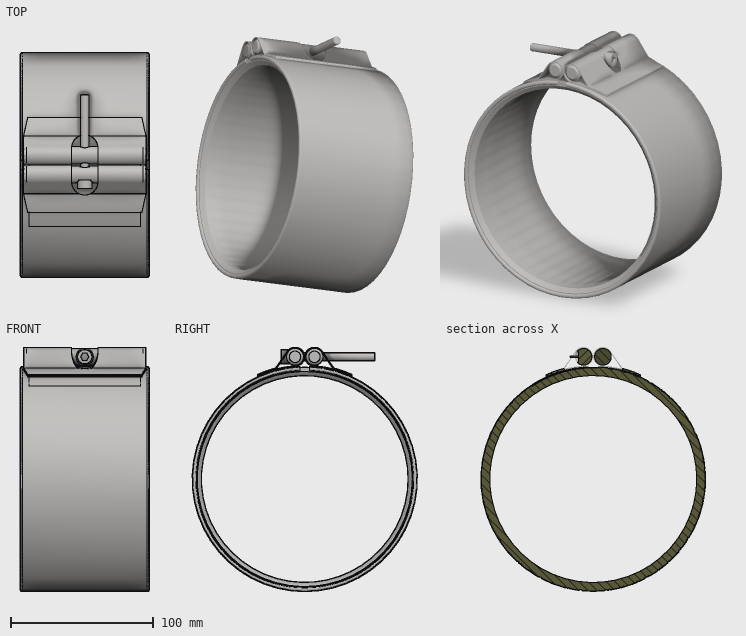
import cadquery as cq
import math

casing_radius = 79.0
casing_sheet = 0.6
casing_bore_radius = casing_radius - casing_sheet
casing_width = 90.5
rim_radius = 1.5
rim_low_radius = casing_radius - 2 * rim_radius
rim_start_x = casing_width / 2 - rim_radius
split_gap = 6.7

tongue_width = 78.0
tongue_start_y = -43.3
tongue_end_clearance = 0.35
tongue_end_y = split_gap / 2 - tongue_end_clearance
tongue_low_radius = casing_bore_radius - casing_sheet

gasket_bore_radius = 72.4
gasket_chamfer = 3.0

overall_top = 92.4
pin_radius = 6.0
lug_sheet = 0.7
layer_gap = 0.05
loop_radius = pin_radius + lug_sheet
pin_offset = 6.8
bolt_height = overall_top - loop_radius
lug_width = 85.8
lug_end_width = 80.0
fold_y = 20.4
lug_end_y = 33.3
window_width = 18.5
window_length = 42.2

pin_length = lug_width
pin_chamfer = 2.0
clearance_hole_radius = 3.5
counterbore_radius = 6.0

shank_radius = 5.85 / 2
shank_length = 60.0
tip_chamfer = 0.5
head_radius = 5.0
head_height = 6.0
head_seat_y = -10.6
socket_across_flats = 5.0
socket_depth = 3.0


def on_radius(radius, y):
    """Point (y, z) on the upper half of a circle round the casing axis."""
    return (y, math.sqrt(radius**2 - y**2))


def curved_strip(outer_radius, inner_radius, start_y, end_y, width):
    """Strip concentric with the casing, between two y positions."""
    middle_y = (start_y + end_y) / 2
    return (
        cq.Workplane("YZ")
        .moveTo(*on_radius(outer_radius, start_y))
        .threePointArc(on_radius(outer_radius, middle_y), on_radius(outer_radius, end_y))
        .lineTo(*on_radius(inner_radius, end_y))
        .threePointArc(on_radius(inner_radius, middle_y), on_radius(inner_radius, start_y))
        .close()
        .extrude(width / 2, both=True)
    )


def cylinder_along_y(radius, start_y, end_y):
    """Cylinder on the bolt axis."""
    return (
        cq.Workplane("XZ", origin=(0, start_y, bolt_height))
        .circle(radius)
        .extrude(start_y - end_y)
    )


def make_tongue():
    return curved_strip(casing_bore_radius, tongue_low_radius, tongue_start_y, tongue_end_y, tongue_width)


def make_casing():
    """Band of constant sheet thickness whose edges curl inward in half circles."""
    curl_middle = casing_radius - rim_radius
    curl_inner_top = rim_low_radius + casing_sheet
    outer_x = casing_width / 2
    inner_x = outer_x - casing_sheet
    section = (
        cq.Workplane("XY")
        .moveTo(-rim_start_x, casing_radius)
        .lineTo(rim_start_x, casing_radius)
        .threePointArc((outer_x, curl_middle), (rim_start_x, rim_low_radius))
        .lineTo(rim_start_x, curl_inner_top)
        .threePointArc((inner_x, curl_middle), (rim_start_x, casing_bore_radius))
        .lineTo(-rim_start_x, casing_bore_radius)
        .threePointArc((-inner_x, curl_middle), (-rim_start_x, curl_inner_top))
        .lineTo(-rim_start_x, rim_low_radius)
        .threePointArc((-outer_x, curl_middle), (-rim_start_x, casing_radius))
        .close()
    )
    half_gap_angle = math.degrees(math.asin(split_gap / 2 / casing_radius))
    band = section.revolve(360 - 2 * half_gap_angle, (0, 0, 0), (1, 0, 0))
    band = band.rotate((0, 0, 0), (1, 0, 0), 90 + half_gap_angle)
    return band.union(make_tongue())


def make_gasket():
    """Sleeve between the curled rims, recessed for the tongue."""
    mouth_radius = gasket_bore_radius + gasket_chamfer
    bore_end_x = rim_start_x - gasket_chamfer
    sleeve = (
        cq.Workplane("XY")
        .moveTo(-rim_start_x, casing_bore_radius)
        .lineTo(rim_start_x, casing_bore_radius)
        .lineTo(rim_start_x, mouth_radius)
        .lineTo(bore_end_x, gasket_bore_radius)
        .lineTo(-bore_end_x, gasket_bore_radius)
        .lineTo(-rim_start_x, mouth_radius)
        .close()
        .revolve(360, (0, 0, 0), (1, 0, 0))
    )
    return sleeve.cut(make_tongue())


def leg_touch(foot, radius):
    """Point where a straight leg rising from `foot` touches a circle round the pin axis."""
    dy = foot[0] - pin_offset
    dz = foot[1] - bolt_height
    angle = math.atan2(dz, dy) + math.acos(radius / math.hypot(dy, dz))
    return (pin_offset + radius * math.cos(angle), bolt_height + radius * math.sin(angle))


def loop_bottom(radius):
    """Point of a circle round the pin axis that is nearest to the casing axis."""
    nearness = 1 - radius / math.hypot(pin_offset, bolt_height)
    return (pin_offset * nearness, bolt_height * nearness)


def make_folded_strap():
    """Strap of the +Y side: layer on the casing, loop round the pin, leg, second layer."""
    inner_low = casing_radius
    inner_top = inner_low + lug_sheet
    outer_low = inner_top + layer_gap
    outer_top = outer_low + lug_sheet
    loop_start_low = loop_bottom(loop_radius)
    loop_start_top = loop_bottom(pin_radius)
    fold_low = on_radius(outer_low, fold_y - lug_sheet / 2)
    fold_top = on_radius(outer_top, fold_y)
    foot_middle_y = (fold_y + lug_end_y) / 2
    layer_middle_y = (pin_offset + lug_end_y) / 2
    return (
        cq.Workplane("YZ")
        .moveTo(*on_radius(inner_low, lug_end_y))
        .threePointArc(on_radius(inner_low, layer_middle_y), on_radius(inner_low, loop_start_low[0]))
        .lineTo(*loop_start_low)
        .threePointArc((pin_offset - loop_radius, bolt_height), leg_touch(fold_top, loop_radius))
        .lineTo(*fold_top)
        .threePointArc(on_radius(outer_top, foot_middle_y), on_radius(outer_top, lug_end_y))
        .lineTo(*on_radius(outer_low, lug_end_y))
        .threePointArc(on_radius(outer_low, foot_middle_y), fold_low)
        .lineTo(*leg_touch(fold_low, pin_radius))
        .threePointArc((pin_offset - pin_radius, bolt_height), loop_start_top)
        .lineTo(*on_radius(inner_top, loop_start_top[0]))
        .threePointArc(on_radius(inner_top, layer_middle_y), on_radius(inner_top, lug_end_y))
        .close()
        .extrude(lug_width / 2, both=True)
    )


def make_lug():
    """Folded strap with a tapered foot and a round-ended window for the bolt."""
    half_width = lug_width / 2
    half_end = lug_end_width / 2
    plan = (
        cq.Workplane("XY")
        .moveTo(-half_width, -loop_radius)
        .lineTo(half_width, -loop_radius)
        .lineTo(half_width, fold_y)
        .lineTo(half_end, lug_end_y)
        .lineTo(-half_end, lug_end_y)
        .lineTo(-half_width, fold_y)
        .close()
        .extrude(overall_top)
    )
    window = (
        cq.Workplane("XY")
        .slot2D(window_length, window_width, 90)
        .extrude(overall_top)
    )
    return make_folded_strap().intersect(plan).cut(window)


def make_plain_pin(y):
    return (
        cq.Workplane("YZ", origin=(0, y, bolt_height))
        .circle(pin_radius)
        .extrude(pin_length / 2, both=True)
        .edges()
        .chamfer(pin_chamfer)
    )


def make_head_pin():
    """-Y pin with a clearance hole and a counterbore seating the bolt head."""
    near_side_y = -pin_offset - pin_radius
    far_side_y = -pin_offset + pin_radius
    clearance_hole = cylinder_along_y(clearance_hole_radius, near_side_y, far_side_y)
    counterbore = cylinder_along_y(counterbore_radius, near_side_y, head_seat_y)
    return make_plain_pin(-pin_offset).cut(clearance_hole).cut(counterbore)


def make_threaded_pin():
    """+Y pin with a hole that takes the bolt shank."""
    near_side_y = pin_offset - pin_radius
    far_side_y = pin_offset + pin_radius
    return make_plain_pin(pin_offset).cut(cylinder_along_y(shank_radius, near_side_y, far_side_y))


def make_bolt():
    shank = cylinder_along_y(shank_radius, head_seat_y, head_seat_y + shank_length)
    shank = shank.faces(">Y").chamfer(tip_chamfer)
    head = cylinder_along_y(head_radius, head_seat_y - head_height, head_seat_y)
    socket_across_corners = socket_across_flats / math.cos(math.pi / 6)
    return (
        shank.union(head)
        .faces("<Y")
        .workplane()
        .polygon(6, socket_across_corners)
        .cutBlind(-socket_depth)
    )


casing = make_casing()
gasket = make_gasket()
front_and_rear_lugs = []
for mirrored in (False, True):
    lug = make_lug()
    if mirrored:
        lug = lug.mirror("XZ")
    front_and_rear_lugs.append(lug.val())
head_pin = make_head_pin()
threaded_pin = make_threaded_pin()
bolt = make_bolt()

result = cq.Compound.makeCompound(
    [casing.val(), gasket.val(), *front_and_rear_lugs, head_pin.val(), threaded_pin.val(), bolt.val()]
)